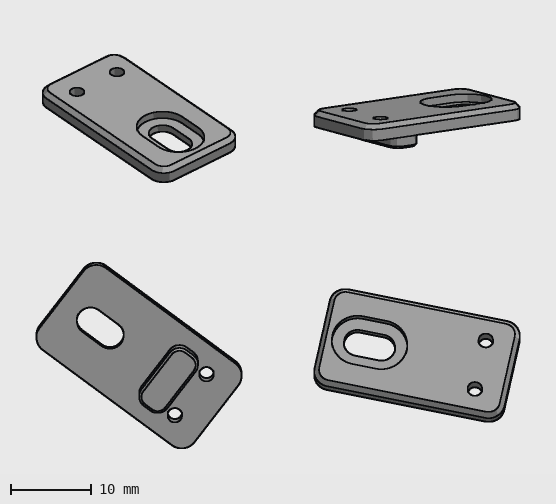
import cadquery as cq

plate_length = 24.0
plate_width = 13.0
plate_thickness = 2.0
plate_corner_radius = 2.0
plate_chamfer = 0.6

boss_length = 4.0
boss_width = 8.8
boss_height = 2.0
boss_corner_radius = 1.5
boss_chamfer = 0.3
boss_center_x = -4.5
boss_center_y = 0.1

hole_diameter = 1.8
hole_spacing = 6.5
hole_x = -8.0

slot_center_x = 6.0
slot_travel = 3.0
slot_width = 3.4
recess_width = 6.4
recess_depth = 1.0


def rounded_block(length, width, height, corner_radius):
    """Block standing on Z = 0 with rounded vertical edges."""
    block = cq.Workplane("XY").box(length, width, height, centered=(True, True, False))
    return block.edges("|Z").fillet(corner_radius)


def make_plate():
    plate = rounded_block(plate_length, plate_width, plate_thickness, plate_corner_radius)
    return plate.faces(">Z").chamfer(plate_chamfer)


def make_boss():
    boss = rounded_block(boss_length, boss_width, boss_height, boss_corner_radius)
    boss = boss.faces("<Z").chamfer(boss_chamfer)
    return boss.translate((boss_center_x, boss_center_y, -boss_height))


def cut_holes(body):
    hole_centers = [(hole_x, side * hole_spacing / 2) for side in (-1, 1)]
    holes = cq.Workplane("XY").pushPoints(hole_centers).circle(hole_diameter / 2).extrude(plate_thickness)
    return body.cut(holes)


def slot_cutter(width, depth):
    """Round-ended slot along X, cut down from the top face."""
    top = cq.Workplane("XY", origin=(slot_center_x, 0, plate_thickness))
    return top.slot2D(slot_travel + width, width).extrude(-depth)


def cut_screw_slot(body):
    body = body.cut(slot_cutter(slot_width, plate_thickness))
    return body.cut(slot_cutter(recess_width, recess_depth))


result = make_plate().union(make_boss())
result = cut_holes(result)
result = cut_screw_slot(result)